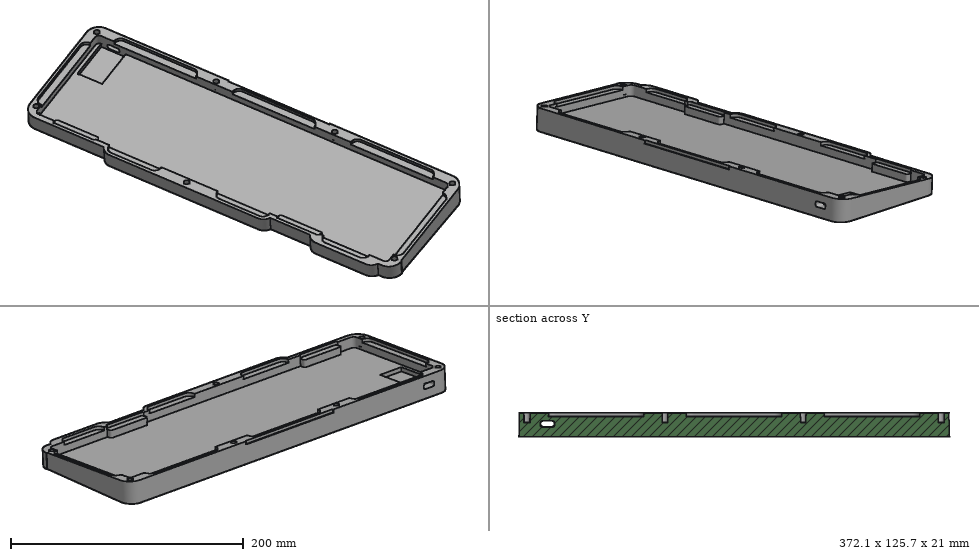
import cadquery as cq
import math


tilt = 3.0
case_height = 20.97
case_depth_overall = 125.68
half_width = 185.75
foot_shift = case_height * math.tan(math.radians(tilt))
case_depth = (case_depth_overall - foot_shift) / math.cos(math.radians(tilt))
overshoot = 10.0
block_depth = case_height + overshoot

front_step = 5.6
corner_radius = 12.0
bump_radius = 10.0
bump_run = math.sqrt(2 * bump_radius * front_step - front_step**2)
wide_bump = (-95.5, 53.2)
narrow_bump = (111.0, 161.0)
bulge_radius = 12.73
bulge_x = 186.38

cavity_half_width = 176.4
cavity_front = 10.75
cavity_mid_front = 9.95
cavity_back = 115.0
cavity_depth = 10.0
cavity_corner_radius = 4.0

bay_left = -172.8
bay_width = 24.6
bay_front = 75.3
bay_depth = 4.0

port_width = 12.0
port_height = 5.0
port_sill = 1.9
port_corner_radius = 2.0

ledge_drop = 3.0
ledge_reach = 6.7
ledge_corner_radius = 6.0
long_ledge = 82.0
back_ledge_pitch = 118.6
side_ledge_outer = 183.0
front_ledges = [
    (-75.5, 52.0, 2.95),
    (33.0, 52.0, 2.95),
    (135.5, 46.0, 4.1),
]

tab_centres = (-136.5, 87.6)
tab_length = 43.0
tab_front = 8.55
tab_back = 15.3
tab_corner_radius = 2.0

hole_diameter = 5.0
hole_depth = 8.0
hole_positions = [
    (-178.1, 117.1),
    (178.1, 117.1),
    (-59.4, 118.5),
    (59.4, 118.5),
    (-179.5, 17.8),
    (179.5, 17.8),
    (-21.5, 5.8),
]

relief_width = 101.0
relief_depth = 1.0
relief_height = 3.0


def block(x_min, x_max, y_min, y_max, z_top, depth):
    """Box hanging down from z_top."""
    size = (x_max - x_min, y_max - y_min, depth)
    return cq.Workplane("XY").box(*size, centered=False).translate((x_min, y_min, z_top - depth))


def case_outline():
    """Closed outline of the case, starting at the left end of the front edge."""
    slant = corner_radius * (1 - math.sqrt(0.5))
    bulge_centre = (bulge_x - bulge_radius, front_step + bulge_radius)
    bulge_diagonal = bulge_radius * math.sqrt(0.5)
    bump_mid_angle = math.atan2(bump_run, bump_radius - front_step) / 2
    bump_mid_x = bump_radius * math.sin(bump_mid_angle)
    bump_mid_y = bump_radius * (1 - math.cos(bump_mid_angle))

    outline = cq.Workplane("XY").moveTo(corner_radius - half_width, front_step)
    for start, end in (wide_bump, narrow_bump):
        outline = (
            outline.lineTo(start - bump_run, front_step)
            .threePointArc((start - bump_mid_x, bump_mid_y), (start, 0))
            .lineTo(end, 0)
            .threePointArc((end + bump_mid_x, bump_mid_y), (end + bump_run, front_step))
        )
    return (
        outline.lineTo(bulge_centre[0], front_step)
        .threePointArc(
            (bulge_centre[0] + bulge_diagonal, bulge_centre[1] - bulge_diagonal),
            (bulge_x, bulge_centre[1]),
        )
        .lineTo(half_width, bulge_centre[1])
        .lineTo(half_width, case_depth - corner_radius)
        .threePointArc(
            (half_width - slant, case_depth - slant),
            (half_width - corner_radius, case_depth),
        )
        .lineTo(corner_radius - half_width, case_depth)
        .threePointArc(
            (slant - half_width, case_depth - slant),
            (-half_width, case_depth - corner_radius),
        )
        .lineTo(-half_width, front_step + corner_radius)
        .threePointArc(
            (slant - half_width, front_step + slant),
            (corner_radius - half_width, front_step),
        )
        .close()
    )


def cavity():
    """Main space, slightly deeper towards the front between the two tabs."""
    space = block(-cavity_half_width, cavity_half_width, cavity_front, cavity_back, 0, cavity_depth)
    space = space.edges("|Z").fillet(cavity_corner_radius)
    return space.union(block(*tab_centres, cavity_mid_front, cavity_back, 0, cavity_depth))


def bay():
    """Rectangular recess below the cavity floor, against the back wall."""
    top = -cavity_depth
    return block(bay_left, bay_left + bay_width, bay_front, cavity_back, top, bay_depth)


def cable_port():
    """Round-cornered opening from the bay out through the back wall."""
    x_min = bay_left + (bay_width - port_width) / 2
    top = port_sill + port_height - cavity_depth - bay_depth
    opening = block(x_min, x_min + port_width, cavity_back, case_depth + overshoot, top, port_height)
    return opening.edges("|Y").fillet(port_corner_radius)


def ledge_cutters():
    """One pocket per ledge, rounded at its outer corners and open to the cavity."""
    cutters = []
    for centre in (-back_ledge_pitch, 0, back_ledge_pitch):
        x_min = centre - long_ledge / 2
        pocket = block(x_min, x_min + long_ledge, cavity_back, cavity_back + ledge_reach, 0, ledge_drop)
        cutters.append(pocket.edges("|Z and >Y").fillet(ledge_corner_radius))
    y_min = (case_depth - long_ledge) / 2
    for side, outer_edges in ((-1, "|Z and <X"), (1, "|Z and >X")):
        x_min, x_max = sorted((side * cavity_half_width, side * side_ledge_outer))
        pocket = block(x_min, x_max, y_min, y_min + long_ledge, 0, ledge_drop)
        cutters.append(pocket.edges(outer_edges).fillet(ledge_corner_radius))
    for centre, length, outer in front_ledges:
        x_min = centre - length / 2
        pocket = block(x_min, x_min + length, outer, cavity_front, 0, ledge_drop)
        cutters.append(pocket.edges("|Z and <Y").fillet(ledge_corner_radius))
    return cutters


def back_relief():
    """Shallow step at the middle of the back rim edge."""
    y_min = case_depth - relief_depth
    return block(-relief_width / 2, relief_width / 2, y_min, case_depth, 0, relief_height)


def tab(centre, z_top, depth):
    """Round-cornered block with the plan shape of a tab."""
    x_min = centre - tab_length / 2
    shape = block(x_min, x_min + tab_length, tab_front, tab_back, z_top, depth)
    return shape.edges("|Z").fillet(tab_corner_radius)


def flat_case():
    """Complete case before tilting, with the rim level."""
    case = case_outline().extrude(-block_depth)
    case = case.cut(cavity()).cut(bay()).cut(back_relief())
    for cutter in ledge_cutters():
        case = case.cut(cutter)
    case = case.cut(cable_port())
    for centre in tab_centres:
        case = case.union(tab(centre, -ledge_drop, cavity_depth - ledge_drop))
        case = case.cut(tab(centre, 0, ledge_drop))
    holes = cq.Workplane("XY").pushPoints(hole_positions).circle(hole_diameter / 2).extrude(-hole_depth)
    return case.cut(holes)


def tilt_and_level(case):
    """Tilt the case about its back rim edge and cut it level one case height below."""
    case = case.translate((0, -case_depth, 0)).rotate((0, 0, 0), (1, 0, 0), tilt)
    waste_size = 4 * half_width
    waste = block(-waste_size, waste_size, -waste_size, waste_size, -case_height, waste_size)
    return case.cut(waste).translate((0, case_depth_overall / 2 - foot_shift, case_height))


result = tilt_and_level(flat_case())